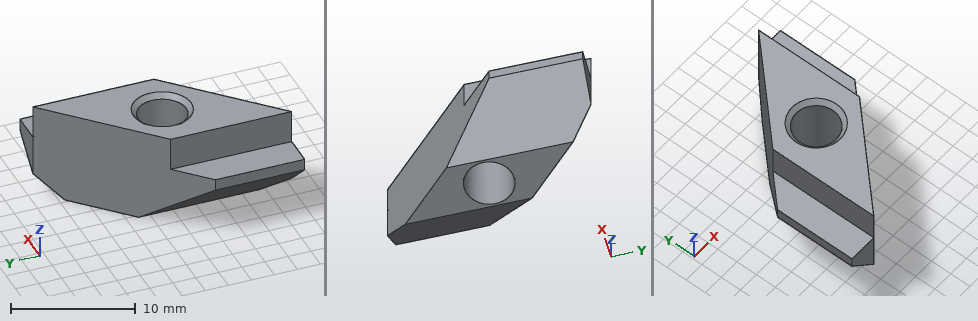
import cadquery as cq

width = 14.0
length = 19.0
height = 8.3

neck_width = 8.5
neck_height = 2.9
lip_thickness = 1.0
base_width = 4.55

hole_diameter = 4.15
countersink_diameter = 5.0

shoulder_z = height - neck_height
lip_bottom_z = shoulder_z - lip_thickness


def tee_section():
    """T-slot cross-section with a tapered underside, extruded along Y."""
    right_half = [
        (base_width / 2, 0),
        (width / 2, lip_bottom_z),
        (width / 2, shoulder_z),
        (neck_width / 2, shoulder_z),
        (neck_width / 2, height),
    ]
    left_half = [(-x, z) for x, z in reversed(right_half)]
    section = cq.Workplane("XZ").polyline(right_half + left_half).close()
    return section.extrude(length / 2, both=True)


def skewed_plan():
    """Six-sided plan with two 45 degree edges, extruded along Z."""
    edge_run = (width + neck_width) / 2
    front_half = [
        (-width / 2, -length / 2),
        (-neck_width / 2, -length / 2),
        (width / 2, -length / 2 + edge_run),
    ]
    back_half = [(-x, -y) for x, y in front_half]
    return cq.Workplane("XY").polyline(front_half + back_half).close().extrude(height)


def hole_cutter():
    """Through hole with a 45 degree countersink at the top."""
    bore = cq.Workplane("XY").circle(hole_diameter / 2).extrude(height)
    countersink_depth = (countersink_diameter - hole_diameter) / 2
    countersink = (
        cq.Workplane("XY")
        .workplane(offset=height)
        .circle(countersink_diameter / 2)
        .workplane(offset=-countersink_depth)
        .circle(hole_diameter / 2)
        .loft(ruled=True)
    )
    return bore.union(countersink)


result = tee_section().intersect(skewed_plan()).cut(hole_cutter())